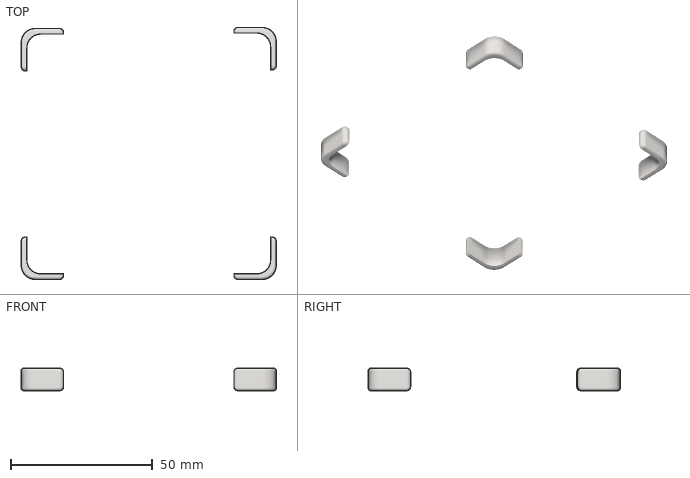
import cadquery as cq

SPAN_X = 90.0
SPAN_Y = 88.9
HEIGHT = 8.0

ARM_LENGTH = 15.0
WALL = 2.1
OUTER_RADIUS = 5.0
INNER_RADIUS = 4.8
END_RADIUS = 1.5
RIM_RADIUS = 1.0

LEFT_BACK_INSET = 0.4


def corner_guard():
    """L-shaped guard with its outer corner at the origin and its arms along +X and +Y."""
    blank = (
        cq.Workplane("XY")
        .polyline(
            [
                (0, 0),
                (ARM_LENGTH, 0),
                (ARM_LENGTH, WALL),
                (WALL, WALL),
                (WALL, ARM_LENGTH),
                (0, ARM_LENGTH),
            ]
        )
        .close()
        .extrude(HEIGHT)
    )
    mid = HEIGHT / 2
    bent = blank.edges(cq.NearestToPointSelector((0, 0, mid))).fillet(OUTER_RADIUS)
    bent = bent.edges(cq.NearestToPointSelector((WALL, WALL, mid))).fillet(INNER_RADIUS)
    for z in (0, HEIGHT):
        bent = bent.edges(cq.NearestToPointSelector((ARM_LENGTH / 2, 0, z))).fillet(RIM_RADIUS)
    for end_corner in [(ARM_LENGTH, 0, mid), (0, ARM_LENGTH, mid)]:
        bent = bent.edges(cq.NearestToPointSelector(end_corner)).fillet(END_RADIUS)
    return bent


def placed_guard(side_x, side_y, inset_y):
    """Copy of the guard in the corner given by the signs side_x and side_y."""
    guard = corner_guard()
    if side_x > 0:
        guard = guard.mirror("YZ")
    if side_y > 0:
        guard = guard.mirror("XZ")
    corner_x = side_x * SPAN_X / 2
    corner_y = side_y * (SPAN_Y / 2 - inset_y)
    return guard.translate((corner_x, corner_y, 0)).val()


GUARD_PLACES = [
    (-1, -1, 0),
    (1, -1, 0),
    (1, 1, 0),
    (-1, 1, LEFT_BACK_INSET),
]

guards = [placed_guard(*place) for place in GUARD_PLACES]
result = cq.Compound.makeCompound(guards)